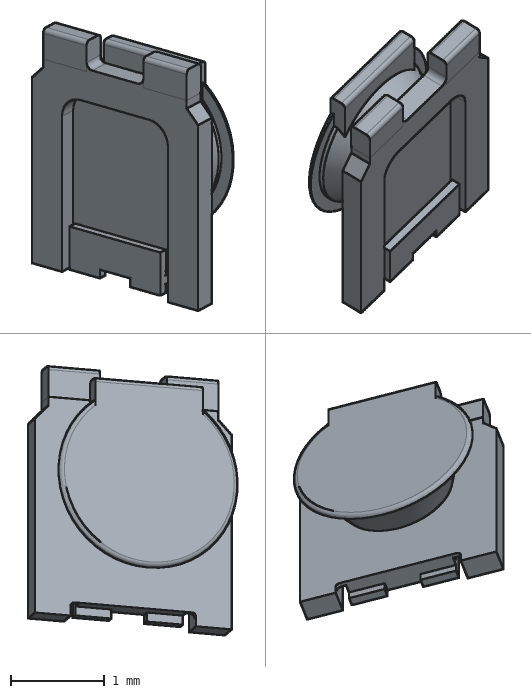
import cadquery as cq
import math

plate_half_width = 1.10
plate_depth = 0.25
frame_height = 2.75
shoulder_half_width = 0.95
shoulder_low_z = 2.15
shoulder_rise = 0.155

tab_inner_x = 0.375
tab_base_z = 2.40
tab_depth = 0.255
tab_rounding = 0.05
saddle_z = 2.43
saddle_radius = 0.075

window_half_width = 0.70
window_top_z = 2.05
window_depth = 0.20
window_corner_radius = 0.25
web_bottom_z = 0.15
web_corner_radius = 0.05

hook_half_width = 0.60
hook_bottom_z = 0.05
hook_top_z = 0.55
hook_thickness = 0.10
hook_notch_half_width = 0.20

button_z = 1.455
cone_small_radius = 0.61
cone_large_radius = 0.85
flange_radius = 1.00
button_back_y = 0.81
flange_thickness = 0.05
collar_length = 0.05

lug_half_width = 0.60
lug_top_z = 2.50
lug_depth = 0.20
lug_rounding = 0.05


def box(x_min, x_max, y_min, y_max, z_min, z_max):
    """Axis-aligned block between two corners."""
    size = (x_max - x_min, y_max - y_min, z_max - z_min)
    return cq.Workplane("XY").box(*size, centered=False).translate((x_min, y_min, z_min))


def front_sketch():
    """Workplane on the front face whose positive extrusion runs backwards along Y."""
    return cq.Workplane(cq.Plane(origin=(0, 0, 0), xDir=(-1, 0, 0), normal=(0, 1, 0)))


def make_plate():
    """Shouldered plate with a filleted saddle rising between the tabs."""
    saddle_edge_x = tab_inner_x - saddle_radius
    saddle_edge_z = saddle_z + saddle_radius
    arc_offset = saddle_radius * math.sqrt(0.5)
    arc_mid_x = saddle_edge_x + arc_offset
    arc_mid_z = saddle_edge_z - arc_offset
    plate = (
        front_sketch()
        .moveTo(-plate_half_width, 0)
        .lineTo(-plate_half_width, shoulder_low_z)
        .lineTo(-shoulder_half_width, shoulder_low_z + shoulder_rise)
        .lineTo(-shoulder_half_width, tab_base_z)
        .lineTo(-tab_inner_x, tab_base_z)
        .lineTo(-tab_inner_x, saddle_edge_z)
        .threePointArc((-arc_mid_x, arc_mid_z), (-saddle_edge_x, saddle_z))
        .lineTo(saddle_edge_x, saddle_z)
        .threePointArc((arc_mid_x, arc_mid_z), (tab_inner_x, saddle_edge_z))
        .lineTo(tab_inner_x, tab_base_z)
        .lineTo(shoulder_half_width, tab_base_z)
        .lineTo(shoulder_half_width, shoulder_low_z + shoulder_rise)
        .lineTo(plate_half_width, shoulder_low_z)
        .lineTo(plate_half_width, 0)
        .close()
        .extrude(plate_depth)
    )
    return plate


def make_window():
    """Recess open at the bottom, plus the opening below the web that runs right through."""
    recess = box(-window_half_width, window_half_width, 0, window_depth, 0, window_top_z)
    recess = recess.edges("|Y and >Z").fillet(window_corner_radius)
    opening = box(-window_half_width, window_half_width, 0, plate_depth, 0, web_bottom_z)
    opening = opening.edges("|Y and >Z").fillet(web_corner_radius)
    return recess.union(opening)


def make_hook():
    """Notched front leaf with a root that joins it to the bottom of the web."""
    leaf = box(-hook_half_width, hook_half_width, 0, hook_thickness, hook_bottom_z, hook_top_z)
    notch = box(-hook_notch_half_width, hook_notch_half_width, 0, hook_thickness, hook_bottom_z, web_bottom_z)
    root_top_z = web_bottom_z + hook_thickness
    root = box(-hook_half_width, hook_half_width, 0, window_depth, web_bottom_z, root_top_z)
    return leaf.cut(notch).union(root)


def make_tab(side):
    """One top tab, slightly deeper than the plate, with rounded top edges."""
    x_min, x_max = sorted((side * tab_inner_x, side * shoulder_half_width))
    tab = box(x_min, x_max, 0, tab_depth, tab_base_z, frame_height)
    return tab.edges("|X and >Z").fillet(tab_rounding)


def make_frame():
    frame = make_plate().cut(make_window()).union(make_hook())
    for side in (-1, 1):
        frame = frame.union(make_tab(side), clean=False)
    return frame


def make_button():
    """Cone, collar and flange turned about a Y axis, with a flat lug on top."""
    flange_front_y = button_back_y - flange_thickness
    collar_front_y = flange_front_y - collar_length
    rim_mid_y = flange_front_y + flange_thickness * math.sqrt(0.5)
    rim_mid_radius = flange_radius - flange_thickness * (1 - math.sqrt(0.5))
    turned = (
        cq.Workplane("YZ")
        .moveTo(plate_depth, 0)
        .lineTo(plate_depth, cone_small_radius)
        .lineTo(collar_front_y, cone_large_radius)
        .lineTo(flange_front_y, cone_large_radius)
        .lineTo(flange_front_y, flange_radius)
        .threePointArc((rim_mid_y, rim_mid_radius), (button_back_y, flange_radius - flange_thickness))
        .lineTo(button_back_y, 0)
        .close()
        .revolve(360, (0, 0, 0), (1, 0, 0))
        .translate((0, 0, button_z))
    )
    lug = box(-lug_half_width, lug_half_width, button_back_y - lug_depth, button_back_y, button_z, lug_top_z)
    lug = lug.edges("|X and >Z").fillet(lug_rounding)
    return turned.union(lug)


frame = make_frame()
button = make_button()

result = cq.Compound.makeCompound([frame.val(), button.val()])